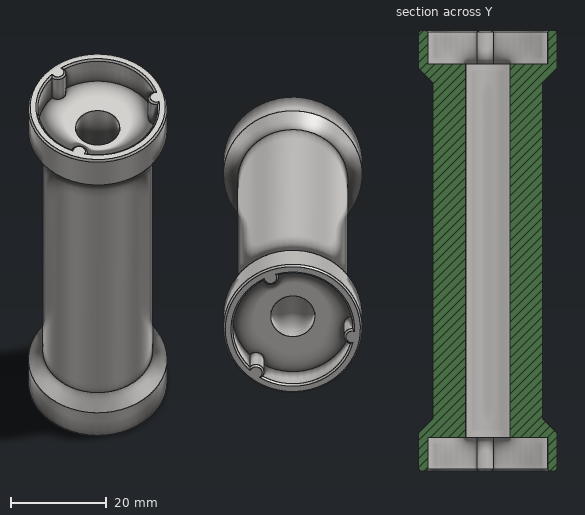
import cadquery as cq
import math

length = 92.0
tube_diameter = 23.0
head_diameter = 29.0
head_height = 8.0
edge_chamfer = 0.4

bore_diameter = 9.2
socket_diameter = 25.0
socket_depth = 7.0
lip_chamfer = 0.4

rib_count = 3
rib_radius = 1.7
first_rib_angle = 32.5

half_length = length / 2
tube_radius = tube_diameter / 2
head_radius = head_diameter / 2
socket_radius = socket_diameter / 2
taper_height = head_radius - tube_radius
socket_floor = half_length - socket_depth


def make_body():
    """Tube with a flared, chamfered head at each end."""
    head_start = half_length - head_height
    tube_end = head_start - taper_height
    profile = (
        cq.Workplane("XZ")
        .moveTo(0, -half_length)
        .lineTo(head_radius - edge_chamfer, -half_length)
        .lineTo(head_radius, -half_length + edge_chamfer)
        .lineTo(head_radius, -head_start)
        .lineTo(tube_radius, -tube_end)
        .lineTo(tube_radius, tube_end)
        .lineTo(head_radius, head_start)
        .lineTo(head_radius, half_length - edge_chamfer)
        .lineTo(head_radius - edge_chamfer, half_length)
        .lineTo(0, half_length)
        .close()
    )
    return profile.revolve(360, (0, 0, 0), (0, 1, 0))


def round_column(radius, top_radius):
    """Column from the socket floor to the end face, coned over the lip chamfer height."""
    profile = (
        cq.Workplane("XZ")
        .moveTo(0, socket_floor)
        .lineTo(radius, socket_floor)
        .lineTo(radius, half_length - lip_chamfer)
        .lineTo(top_radius, half_length)
        .lineTo(0, half_length)
        .close()
    )
    return profile.revolve(360, (0, 0, 0), (0, 1, 0))


def make_socket():
    """Round socket volume, widening at its lip, with the wall ribs left out."""
    socket = round_column(socket_radius, socket_radius + lip_chamfer)
    rib = round_column(rib_radius, rib_radius - lip_chamfer)
    for index in range(rib_count):
        angle = math.radians(first_rib_angle + index * 360 / rib_count)
        x = socket_radius * math.cos(angle)
        y = socket_radius * math.sin(angle)
        socket = socket.cut(rib.translate((x, y, 0)))
    return socket


def make_part():
    """Bored body with a ribbed socket in each end."""
    bore = cq.Workplane("XY").circle(bore_diameter / 2).extrude(half_length, both=True)
    top_socket = make_socket()
    bottom_socket = top_socket.mirror("XY")
    return make_body().cut(top_socket).cut(bottom_socket).cut(bore)


result = make_part()